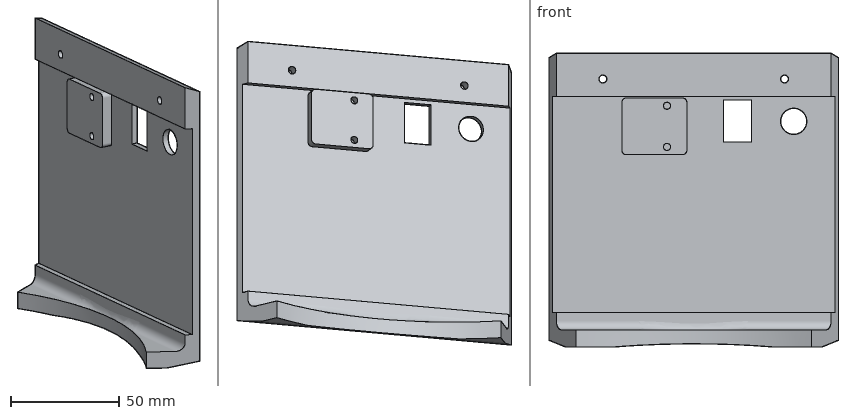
import cadquery as cq
import math

width = 134.0
depth = 21.5
height = 136.0
side_angle = 30.0

panel_thickness = 3.0
band_thickness = 6.0
back_top_drop = 2.0
top_band_height = 20.0
lower_band_top = 16.0
shelf_thickness = 8.0
underside_rise = 3.1
underside_slope_depth = 13.3
shelf_fillet = 4.0

front_arc_radius = 110.0

mount_hole_diameter = 3.5
mount_hole_spacing = 84.0
mount_hole_z = 124.0

pad_width = 30.0
pad_height = 26.2
pad_thickness = 5.0
pad_corner_radius = 2.0
pad_x = -18.2
pad_z = 102.1
pad_hole_diameter = 3.3
pad_hole_spacing = 19.0
pad_hole_x = -12.4

window_width = 12.8
window_height = 19.3
window_x = 20.3
window_z = 104.6
round_hole_diameter = 12.0
round_hole_x = 46.2
round_hole_z = 104.5


def front_plane(y):
    """Sketch plane at the given Y, facing -Y, with local axes along X and Z."""
    return cq.Workplane("XZ", origin=(0, y, 0))


def make_profile_body():
    """Side profile extruded along X over the full width."""
    points = [
        (0, underside_rise),
        (0, height - back_top_drop),
        (-band_thickness, height),
        (-band_thickness, height - top_band_height),
        (-panel_thickness, height - top_band_height),
        (-panel_thickness, lower_band_top),
        (-band_thickness, lower_band_top),
        (-band_thickness, shelf_thickness),
        (-depth, shelf_thickness),
        (-depth, 0),
        (-underside_slope_depth, 0),
    ]
    return cq.Workplane("YZ").polyline(points).close().extrude(width / 2, both=True)


def make_plan_body():
    """Plan outline: leaning sides and a concave arc between the front corners."""
    back_x = width / 2
    front_x = back_x - depth * math.tan(math.radians(side_angle))
    arc_rise = front_arc_radius - math.sqrt(front_arc_radius**2 - front_x**2)
    return (
        cq.Workplane("XY")
        .moveTo(-back_x, 0)
        .lineTo(-front_x, -depth)
        .threePointArc((0, arc_rise - depth), (front_x, -depth))
        .lineTo(back_x, 0)
        .close()
        .extrude(height)
    )


def fillet_shelf(body):
    """Round the inner corner between the lower band and the shelf."""
    margin = 0.1
    corner = cq.selectors.BoxSelector(
        (-width, -band_thickness - margin, shelf_thickness - margin),
        (width, -band_thickness + margin, shelf_thickness + margin),
    )
    return body.edges(corner).fillet(shelf_fillet)


def make_pad():
    """Rounded pad standing on the panel, with its holes."""
    pad = (
        front_plane(-panel_thickness)
        .center(pad_x, pad_z)
        .rect(pad_width, pad_height)
        .extrude(pad_thickness)
        .edges("|Y")
        .fillet(pad_corner_radius)
    )
    half_spacing = pad_hole_spacing / 2
    holes = (
        front_plane(-panel_thickness)
        .pushPoints([(pad_hole_x, pad_z - half_spacing), (pad_hole_x, pad_z + half_spacing)])
        .circle(pad_hole_diameter / 2)
        .extrude(pad_thickness)
    )
    return pad.cut(holes)


def make_openings():
    """Cutters for the mounting holes, the window and the round hole."""
    half_spacing = mount_hole_spacing / 2
    mount_holes = (
        front_plane(0)
        .pushPoints([(-half_spacing, mount_hole_z), (half_spacing, mount_hole_z)])
        .circle(mount_hole_diameter / 2)
        .extrude(depth)
    )
    window = front_plane(0).center(window_x, window_z).rect(window_width, window_height).extrude(depth)
    round_hole = (
        front_plane(0)
        .center(round_hole_x, round_hole_z)
        .circle(round_hole_diameter / 2)
        .extrude(depth)
    )
    return mount_holes.add(window).add(round_hole).combine()


body = fillet_shelf(make_profile_body().intersect(make_plan_body()))
result = body.union(make_pad()).cut(make_openings())